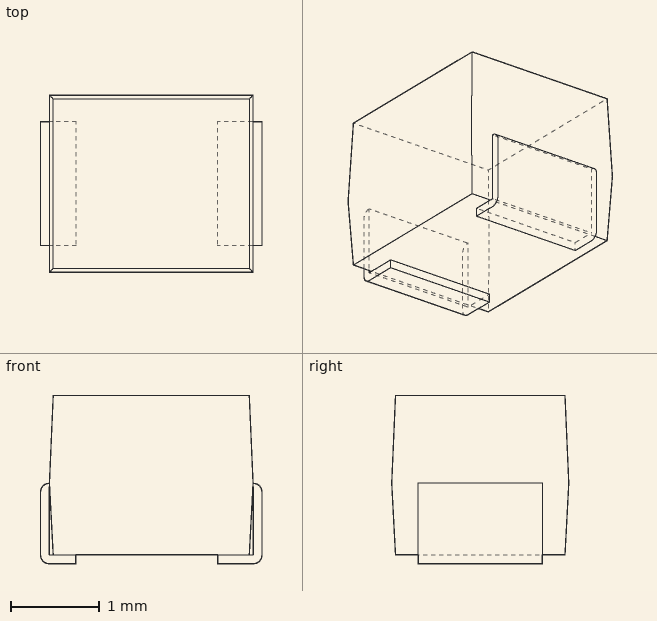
import cadquery as cq
import math

LENGTH = 2.5
BODY_WIDTH = 2.0
HEIGHT = 1.9

LEAD_THICKNESS = 0.1
LEAD_WIDTH = 1.4
LEAD_TOP = 0.91
LEFT_FOOT_LENGTH = 0.4
RIGHT_FOOT_LENGTH = 0.5
BEND_RADIUS = LEAD_THICKNESS
ARC_INSET = BEND_RADIUS * (1 - math.sqrt(0.5))

BODY_LENGTH = LENGTH - 2 * LEAD_THICKNESS
BODY_BOTTOM = LEAD_THICKNESS
BAND_HEIGHT = 0.01
BAND_BOTTOM = 0.905
BAND_TOP = BAND_BOTTOM + BAND_HEIGHT
FACE_INSET = 0.042


def tapered_half(start_z, end_z):
    """Frustum from the full band outline at start_z to the inset face at end_z."""
    return (
        cq.Workplane("XY", origin=(0, 0, start_z))
        .rect(BODY_LENGTH, BODY_WIDTH)
        .workplane(offset=end_z - start_z)
        .rect(BODY_LENGTH - 2 * FACE_INSET, BODY_WIDTH - 2 * FACE_INSET)
        .loft(ruled=True)
    )


def make_housing():
    band = (
        cq.Workplane("XY", origin=(0, 0, BAND_BOTTOM))
        .rect(BODY_LENGTH, BODY_WIDTH)
        .extrude(BAND_HEIGHT)
    )
    upper_half = tapered_half(BAND_TOP, HEIGHT)
    lower_half = tapered_half(BAND_BOTTOM, BODY_BOTTOM)
    return band.union(upper_half).union(lower_half)


def make_lead(side, foot_length):
    """L-shaped strip at the end given by side (-1 or +1), its foot under the housing."""
    outer_x = side * LENGTH / 2
    inner_x = side * BODY_LENGTH / 2
    foot_end_x = side * (LENGTH / 2 - foot_length)
    shoulder_x = side * (LENGTH / 2 - BEND_RADIUS)
    arc_x = side * (LENGTH / 2 - ARC_INSET)
    profile = (
        cq.Workplane("XZ")
        .moveTo(foot_end_x, 0)
        .lineTo(shoulder_x, 0)
        .threePointArc((arc_x, ARC_INSET), (outer_x, BEND_RADIUS))
        .lineTo(outer_x, LEAD_TOP - BEND_RADIUS)
        .threePointArc((arc_x, LEAD_TOP - ARC_INSET), (shoulder_x, LEAD_TOP))
        .lineTo(inner_x, LEAD_THICKNESS)
        .lineTo(foot_end_x, LEAD_THICKNESS)
        .close()
    )
    return profile.extrude(LEAD_WIDTH / 2, both=True)


housing = make_housing()
leads = [
    make_lead(side, foot_length)
    for side, foot_length in ((-1, LEFT_FOOT_LENGTH), (1, RIGHT_FOOT_LENGTH))
]
result = cq.Compound.makeCompound([housing.val(), *[lead.val() for lead in leads]])